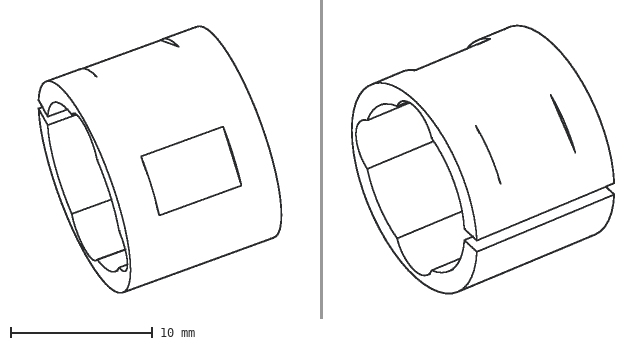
import cadquery as cq

outer_radius = 7.94
bore_radius = 6.35
length = 11.69
slit_width = 1.02

groove_radius = 2.38
groove_reach = 7.4
groove_angles = (-90, 0, 90)

flat_distance = 7.62
flat_length = 6.35
flat_angles = (45, 135)


def cylinder_along_y(radius):
    return cq.Workplane("XZ").circle(radius).extrude(length / 2, both=True)


def turn_about_axis(body, angle):
    """Turn a body from +X towards +Z by an angle in degrees."""
    return body.rotate((0, 0, 0), (0, 1, 0), -angle)


sleeve = cylinder_along_y(outer_radius).cut(cylinder_along_y(bore_radius))

groove = cylinder_along_y(groove_radius).translate((groove_reach - groove_radius, 0, 0))
for angle in groove_angles:
    sleeve = sleeve.cut(turn_about_axis(groove, angle))

flat_cutter = cq.Workplane("XY").box(
    outer_radius, flat_length, 2 * outer_radius, centered=(False, True, True)
).translate((flat_distance, 0, 0))
for angle in flat_angles:
    sleeve = sleeve.cut(turn_about_axis(flat_cutter, angle))

slit = cq.Workplane("XY").box(outer_radius, length, slit_width).translate((-outer_radius, 0, 0))

result = sleeve.cut(slit)